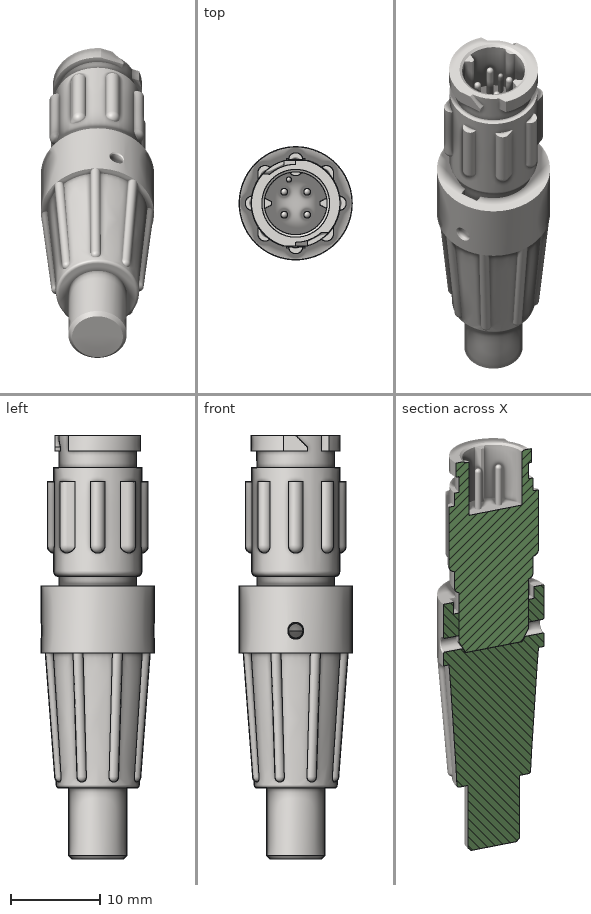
import cadquery as cq
import math

LENGTH = 47.5

FLANGE_R = 5.0
SLEEVE_R = 4.95
NECK_R = 4.35
FLANGE_BOTTOM_Z = 45.75
SLEEVE_TOP_Z = 43.9
SLEEVE_BOTTOM_Z = 31.7
SLEEVE_FILLET = SLEEVE_R - NECK_R
KNEE_Z = 25.6
NOSE_LENGTH = 1.42
NOSE_TAPER = 0.8

GRIP_RIBS = 8
GRIP_RIB_R = 0.8
GRIP_RIB_CENTER_R = 4.85
GRIP_RIB_SIDE_LENGTH = 1.6
GRIP_RIB_TOP_Z = 42.3
GRIP_RIB_BALL_Z = 35.1

FLAT_Y = 4.8
ENTRY_RAMP_TOP_X = 0.0
ENTRY_RAMP_BOTTOM_X = 1.35
ENTRY_RAMP_BOTTOM_Z = 46.15
ENTRY_STOP_Y = 3.3

SOCKET_R = 3.5
SOCKET_CHAMFER_WIDTH = 0.3
SOCKET_CHAMFER_DEPTH = 0.2
SOCKET_DEPTH = 6.65
SIDE_KEY_TIP_R = 2.7
SIDE_KEY_HALF_WIDTH = 0.55
SIDE_KEY_TIP_HALF_WIDTH = 0.2
ROUND_KEY_R = 0.75
ROUND_KEY_Y = 3.85
PIN_R = 0.4
PIN_OFFSET = 1.3
PIN_TOP_Z = 45.65
SMALL_PIN_R = 0.3
SMALL_PIN_X = -0.75
SMALL_PIN_Y = 2.65
SMALL_PIN_TOP_Z = 43.7

COLLAR_R = 6.34
COLLAR_TOP_Z = 30.65
COLLAR_BOTTOM_Z = 23.1
NOTCH_HALF_WIDTH = 1.05
NOTCH_REACH = 5.05
NOTCH_DEPTH = 1.42
SCREW_HOLE_R = 0.8
SCREW_HOLE_CHAMFER = 0.15
BOOT_TOP_R = 5.65
BOOT_BOTTOM_R = 4.65
BOOT_BOTTOM_Z = 8.0
BOOT_FILLET = 0.35
BOOT_RIBS = 8
BOOT_RIB_R = 0.55
BOOT_RIB_TOP_CENTER_R = 5.75
BOOT_RIB_BALL_CENTER_R = 4.6
BOOT_RIB_OVERRUN = 1.05
BOOT_RIB_BALL_Z = 9.2
CABLE_R = 3.3
CABLE_CHAMFER = 0.45


def cylinder(radius, bottom, top, x=0.0, y=0.0):
    return cq.Workplane("XY").workplane(offset=bottom).center(x, y).circle(radius).extrude(top - bottom)


def ball(radius, x, y, z):
    return cq.Workplane("XY").sphere(radius).translate((x, y, z))


def shank():
    """Neck with its tapered nose, also used to cut the matching socket of the backshell."""
    nose_z = KNEE_Z - NOSE_LENGTH
    return (
        cq.Workplane("XZ")
        .moveTo(0, nose_z)
        .lineTo(NECK_R - NOSE_TAPER, nose_z)
        .lineTo(NECK_R, KNEE_Z)
        .lineTo(NECK_R, LENGTH)
        .lineTo(0, LENGTH)
        .close()
        .revolve(360, (0, 0, 0), (0, 1, 0))
    )


def grip_rib(angle):
    """Round rib with a ball end; diagonal ribs also get a side face square to X."""
    x = GRIP_RIB_CENTER_R * math.cos(angle)
    y = GRIP_RIB_CENTER_R * math.sin(angle)
    rib = cylinder(GRIP_RIB_R, GRIP_RIB_BALL_Z, GRIP_RIB_TOP_Z, x, y)
    rib = rib.union(ball(GRIP_RIB_R, x, y, GRIP_RIB_BALL_Z))
    if min(abs(x), abs(y)) > GRIP_RIB_R:
        height = GRIP_RIB_TOP_Z - GRIP_RIB_BALL_Z
        reach = math.copysign(GRIP_RIB_SIDE_LENGTH, y)
        side = (
            cq.Workplane("XZ", origin=(0, y, 0))
            .center(x, GRIP_RIB_BALL_Z)
            .moveTo(-GRIP_RIB_R, height)
            .lineTo(-GRIP_RIB_R, 0)
            .threePointArc((0, -GRIP_RIB_R), (GRIP_RIB_R, 0))
            .lineTo(GRIP_RIB_R, height)
            .close()
            .extrude(reach)
        )
        rib = rib.union(side)
    return rib


def bayonet_entry():
    """Material removed from the -Y side of the flange: flat, ramp and entry channel."""
    flange_height = LENGTH - FLANGE_BOTTOM_Z
    channel = (
        cq.Workplane("XZ")
        .moveTo(ENTRY_RAMP_TOP_X, LENGTH)
        .lineTo(ENTRY_RAMP_BOTTOM_X, ENTRY_RAMP_BOTTOM_Z)
        .lineTo(ENTRY_RAMP_BOTTOM_X, FLANGE_BOTTOM_Z)
        .lineTo(FLANGE_R, FLANGE_BOTTOM_Z)
        .lineTo(FLANGE_R, LENGTH)
        .close()
        .extrude(FLANGE_R - ENTRY_STOP_Y)
        .translate((0, -ENTRY_STOP_Y, 0))
    )
    flat = cq.Workplane("XY").box(
        FLANGE_R, FLANGE_R - FLAT_Y, flange_height, centered=(True, False, False)
    ).translate((0, -FLANGE_R, FLANGE_BOTTOM_Z))
    return channel.union(flat).cut(cylinder(NECK_R, FLANGE_BOTTOM_Z, LENGTH))


def side_key():
    """Tapered key standing inward from the socket wall on the +X side."""
    wall_r = (SOCKET_R + NECK_R) / 2
    flank_x = math.sqrt(SOCKET_R**2 - SIDE_KEY_HALF_WIDTH**2)
    return (
        cq.Workplane("XY")
        .workplane(offset=LENGTH - SOCKET_DEPTH)
        .moveTo(wall_r, -SIDE_KEY_HALF_WIDTH)
        .lineTo(flank_x, -SIDE_KEY_HALF_WIDTH)
        .lineTo(SIDE_KEY_TIP_R, -SIDE_KEY_TIP_HALF_WIDTH)
        .lineTo(SIDE_KEY_TIP_R, SIDE_KEY_TIP_HALF_WIDTH)
        .lineTo(flank_x, SIDE_KEY_HALF_WIDTH)
        .lineTo(wall_r, SIDE_KEY_HALF_WIDTH)
        .close()
        .extrude(SOCKET_DEPTH - SOCKET_CHAMFER_DEPTH)
    )


def round_key():
    """Round key on the +Y side of the socket, trimmed to the neck."""
    floor_z = LENGTH - SOCKET_DEPTH
    key_top_z = LENGTH - SOCKET_CHAMFER_DEPTH
    rod = cylinder(ROUND_KEY_R, floor_z, key_top_z, 0, ROUND_KEY_Y)
    return rod.intersect(cylinder(NECK_R, floor_z, key_top_z))


def contact_pin(radius, x, y, top):
    rod = cylinder(radius, LENGTH - SOCKET_DEPTH, top - radius, x, y)
    return rod.union(ball(radius, x, y, top - radius))


def make_connector():
    body = shank()
    sleeve = cylinder(SLEEVE_R, SLEEVE_BOTTOM_Z, SLEEVE_TOP_Z)
    body = body.union(sleeve.faces("<Z").edges().fillet(SLEEVE_FILLET))
    for i in range(GRIP_RIBS):
        body = body.union(grip_rib(2 * math.pi * i / GRIP_RIBS))

    flange = cylinder(FLANGE_R, FLANGE_BOTTOM_Z, LENGTH)
    entry = bayonet_entry()
    for angle in (0, 180):
        flange = flange.cut(entry.rotate((0, 0, 0), (0, 0, 1), angle))
    body = body.union(flange)

    body = body.cut(cylinder(SOCKET_R, LENGTH - SOCKET_DEPTH, LENGTH))
    mouth = cq.Workplane("XY").workplane(offset=LENGTH).circle(SOCKET_R + SOCKET_CHAMFER_WIDTH)
    mouth = mouth.workplane(offset=-SOCKET_CHAMFER_DEPTH).circle(SOCKET_R).loft()
    body = body.cut(mouth)
    for angle in (0, 180):
        body = body.union(side_key().rotate((0, 0, 0), (0, 0, 1), angle))
    body = body.union(round_key())

    for x in (-PIN_OFFSET, PIN_OFFSET):
        for y in (-PIN_OFFSET, PIN_OFFSET):
            body = body.union(contact_pin(PIN_R, x, y, PIN_TOP_Z))
    return body.union(contact_pin(SMALL_PIN_R, SMALL_PIN_X, SMALL_PIN_Y, SMALL_PIN_TOP_Z))


def boot():
    """Tapered boot with a rounded lower edge."""
    edge_z = BOOT_BOTTOM_Z + BOOT_FILLET
    corner = BOOT_FILLET * math.sqrt(0.5)
    return (
        cq.Workplane("XZ")
        .moveTo(0, BOOT_BOTTOM_Z)
        .lineTo(BOOT_BOTTOM_R - BOOT_FILLET, BOOT_BOTTOM_Z)
        .threePointArc(
            (BOOT_BOTTOM_R - BOOT_FILLET + corner, edge_z - corner),
            (BOOT_BOTTOM_R, edge_z),
        )
        .lineTo(BOOT_TOP_R, COLLAR_BOTTOM_Z)
        .lineTo(0, COLLAR_BOTTOM_Z)
        .close()
        .revolve(360, (0, 0, 0), (0, 1, 0))
    )


def boot_rib():
    """Round rib leaning inward toward a ball end at the bottom of the boot."""
    lean = cq.Vector(
        BOOT_RIB_TOP_CENTER_R - BOOT_RIB_BALL_CENTER_R, 0, COLLAR_BOTTOM_Z - BOOT_RIB_BALL_Z
    )
    start = cq.Vector(BOOT_RIB_BALL_CENTER_R, 0, BOOT_RIB_BALL_Z)
    rod = cq.Workplane(cq.Solid.makeCylinder(BOOT_RIB_R, lean.Length * BOOT_RIB_OVERRUN, start, lean))
    rod = rod.intersect(cylinder(2 * COLLAR_R, 0, COLLAR_BOTTOM_Z))
    return rod.union(ball(BOOT_RIB_R, *start.toTuple()))


def screw_hole():
    """Countersunk radial hole from the -Y side of the collar to the axis."""
    hole = cq.Workplane("XZ").circle(SCREW_HOLE_R).extrude(COLLAR_R)
    mouth = (
        cq.Workplane("XZ", origin=(0, -COLLAR_R, 0))
        .circle(SCREW_HOLE_R + SCREW_HOLE_CHAMFER)
        .workplane(offset=-SCREW_HOLE_CHAMFER)
        .circle(SCREW_HOLE_R)
        .loft()
    )
    return hole.union(mouth).translate((0, 0, KNEE_Z))


def make_backshell():
    body = boot().union(cylinder(COLLAR_R, COLLAR_BOTTOM_Z, COLLAR_TOP_Z))
    rib = boot_rib()
    for i in range(BOOT_RIBS):
        body = body.union(rib.rotate((0, 0, 0), (0, 0, 1), 360 / BOOT_RIBS * (i + 0.5)))
    cable = cylinder(CABLE_R, 0, BOOT_BOTTOM_Z).faces("<Z").chamfer(CABLE_CHAMFER)
    body = body.union(cable)

    hole = screw_hole()
    for angle in (0, 180):
        body = body.cut(hole.rotate((0, 0, 0), (0, 0, 1), angle))
    notches = cq.Workplane("XY").box(2 * NOTCH_HALF_WIDTH, 2 * NOTCH_REACH, NOTCH_DEPTH)
    body = body.cut(notches.translate((0, 0, COLLAR_TOP_Z - NOTCH_DEPTH / 2)))
    return body.cut(shank())


connector = make_connector()
backshell = make_backshell()

result = cq.Compound.makeCompound([connector.val(), backshell.val()])